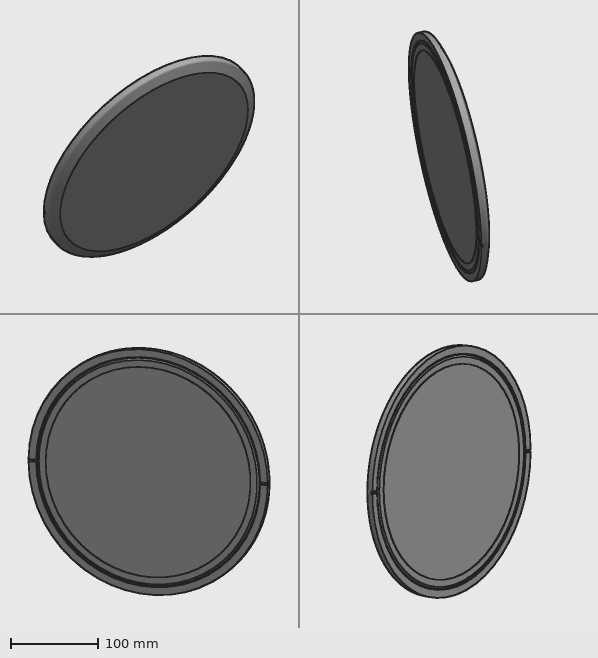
import cadquery as cq

outer_radius = 146.0
thickness = 13.7

cone_start = 8.2
back_radius = 132.3
corner_fillet = 3.0

groove_outer_radius = 136.7
groove_floor_radius = 135.5
groove_inner_radius = 133.2
groove_depth = 1.2
recess_radius = 250.0 / 2
recess_depth = 0.5

notch_width = 2.5
notch_depth = 1.8
notch_overrun = 0.3


def disc_body():
    """Revolve the half section (radius, axial position) about the X axis."""
    section = (
        cq.Workplane("XY")
        .moveTo(0, 0)
        .lineTo(0, groove_inner_radius)
        .lineTo(groove_depth, groove_floor_radius)
        .lineTo(groove_depth, groove_outer_radius)
        .lineTo(0, groove_outer_radius)
        .lineTo(0, outer_radius)
        .lineTo(cone_start, outer_radius)
        .lineTo(thickness, back_radius)
        .lineTo(thickness, 0)
        .close()
    )
    body = section.revolve(360, (0, 0, 0), (1, 0, 0))
    return body.edges(cq.selectors.RadiusNthSelector(-1)).edges(">X").fillet(corner_fillet)


def front_recess():
    return cq.Workplane("YZ").circle(recess_radius).extrude(recess_depth)


def rim_notches():
    """Flat-bottomed slots from the ring groove out through the rim."""
    notch_length = outer_radius - groove_outer_radius
    middle_radius = (outer_radius + groove_outer_radius) / 2
    cut_length = notch_length + 2 * notch_overrun
    return (
        cq.Workplane("YZ")
        .pushPoints([(-middle_radius, 0), (middle_radius, 0)])
        .rect(cut_length, notch_width)
        .extrude(notch_depth)
    )


result = disc_body().cut(front_recess()).cut(rim_notches())